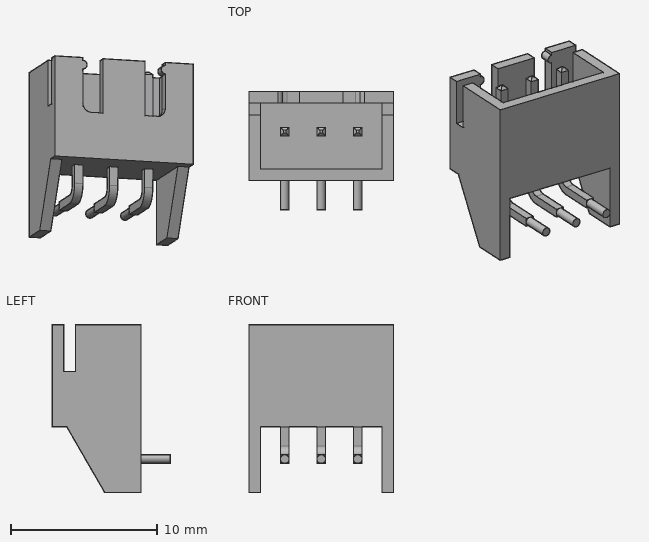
import cadquery as cq
import math


width = 9.9
depth = 6.1
height = 11.5
wall = 0.8
shroud_height = 7.0
floor_thickness = 1.0
leg_height = height - shroud_height
inner_width = width - 2 * wall

foot_depth = 2.5
slope_from_vertical = 30.0
slope_top_y = foot_depth + leg_height * math.tan(math.radians(slope_from_vertical))

side_slot_width = 0.8
side_slot_depth = 3.2
rear_slot_inner_x = 1.5
rear_slot_outer_x = 2.95
rear_slot_depth = 3.8
rear_slot_corner_radius = 0.6

bead_radius = 0.3
bead_drop = 0.5

pin_count = 3
pitch = 2.5
pin_size = 0.6
pin_y = 3.35
pin_top_drop = 0.2
tip_flat = 0.2
tip_chamfer = (pin_size - tip_flat) / 2
tail_drop = 2.5
tail_length = 2.0
bend_inner_radius = 0.6
bend_outer_radius = bend_inner_radius + pin_size
round_tail_start_y = 0.0


def block(x_min, x_max, y_min, y_max, z_min, z_max):
    """Box between two opposite corners."""
    size = (x_max - x_min, y_max - y_min, z_max - z_min)
    return cq.Workplane("XY").box(*size, centered=False).translate((x_min, y_min, z_min))


def make_shell():
    """Side profile across the full width, hollowed above and opened between the legs."""
    profile = [
        (0, 0),
        (foot_depth, 0),
        (slope_top_y, leg_height),
        (depth, leg_height),
        (depth, height),
        (0, height),
    ]
    body = cq.Workplane("YZ").polyline(profile).close().extrude(width / 2, both=True)
    half_inner = inner_width / 2
    cavity = block(-half_inner, half_inner, wall, depth - wall, leg_height + floor_thickness, height)
    leg_gap = block(-half_inner, half_inner, 0, depth, 0, leg_height)
    return body.cut(cavity).cut(leg_gap)


def make_side_slots():
    """One cut through both side walls, just in front of the rear wall."""
    rear_wall_y = depth - wall
    return block(
        -width / 2, width / 2, rear_wall_y - side_slot_width, rear_wall_y, height - side_slot_depth, height
    )


def make_rear_slot():
    """Slot in the rear wall on the +X side, with its outer bottom corner rounded."""
    slot = block(
        rear_slot_inner_x, rear_slot_outer_x, depth - wall, depth, height - rear_slot_depth, height
    )
    return slot.edges("|Y and >X and <Z").fillet(rear_slot_corner_radius)


def make_bead():
    """Cylinder along Y, half sunk in the slot face of the +X latch arm."""
    return (
        cq.Workplane("XZ", origin=(rear_slot_outer_x, depth, height - bead_drop))
        .circle(bead_radius)
        .extrude(wall)
    )


def mirrored_pair(shape):
    """The shape together with its mirror image in X."""
    return shape.union(shape.mirror("YZ"))


def make_pin():
    """Square pin with a pointed tip, bent forward into a round solder tail."""
    front_y = pin_y - pin_size / 2
    rear_y = pin_y + pin_size / 2
    top_z = height - pin_top_drop
    tail_bottom_z = leg_height - tail_drop
    tail_top_z = tail_bottom_z + pin_size

    bend_start_y = front_y - bend_inner_radius
    bend_start_z = tail_top_z + bend_inner_radius
    inner_mid = bend_inner_radius * math.sqrt(0.5)
    outer_mid = bend_outer_radius * math.sqrt(0.5)

    square_part = (
        cq.Workplane("YZ")
        .moveTo(front_y, top_z)
        .lineTo(front_y, bend_start_z)
        .threePointArc((bend_start_y + inner_mid, bend_start_z - inner_mid), (bend_start_y, tail_top_z))
        .lineTo(round_tail_start_y, tail_top_z)
        .lineTo(round_tail_start_y, tail_bottom_z)
        .lineTo(bend_start_y, tail_bottom_z)
        .threePointArc((bend_start_y + outer_mid, bend_start_z - outer_mid), (rear_y, bend_start_z))
        .lineTo(rear_y, top_z)
        .close()
        .extrude(pin_size / 2, both=True)
        .faces(">Z")
        .chamfer(tip_chamfer)
    )
    round_tail = (
        cq.Workplane("XZ", origin=(0, round_tail_start_y, tail_bottom_z + pin_size / 2))
        .circle(pin_size / 2)
        .extrude(tail_length + round_tail_start_y)
    )
    return square_part.union(round_tail)


def make_header():
    """Housing with its latch arms, and the row of pins set through its floor."""
    header = make_shell().cut(make_side_slots())
    header = header.cut(mirrored_pair(make_rear_slot()))
    header = header.union(mirrored_pair(make_bead()))
    pin = make_pin()
    for index in range(pin_count):
        pin_x = (index - (pin_count - 1) / 2) * pitch
        header = header.union(pin.translate((pin_x, 0, 0)))
    return header


result = make_header()